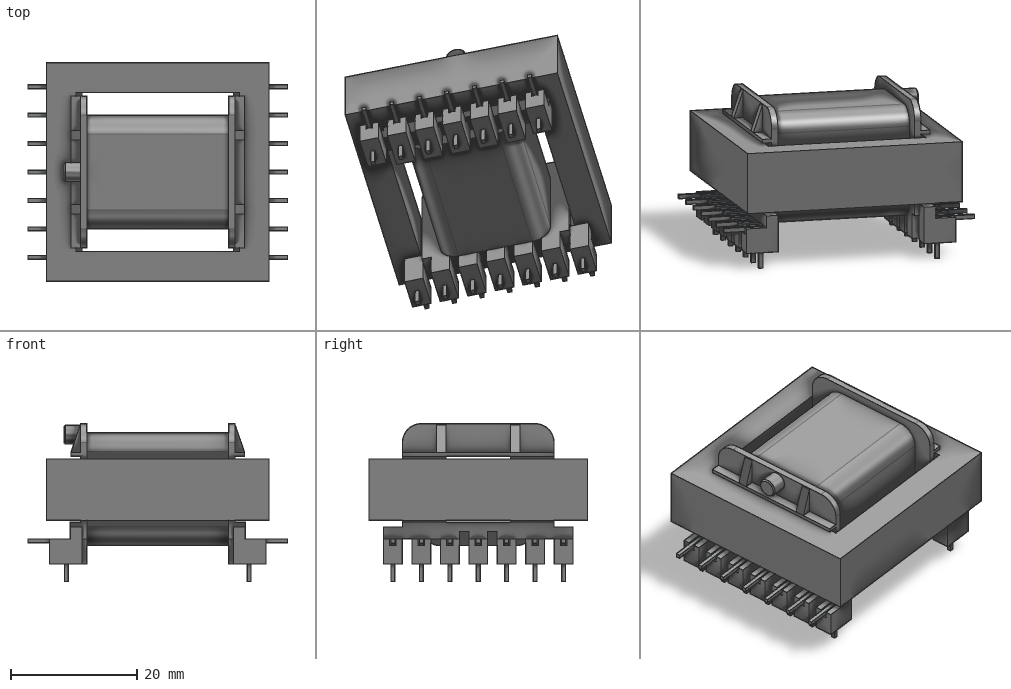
import cadquery as cq


CORE_LENGTH = 35.2
CORE_WIDTH = 34.6
CORE_HEIGHT = 9.7
WINDOW_LENGTH = 25.8
WINDOW_WIDTH = 25.1
CENTRE_LEG_WIDTH = CORE_WIDTH - WINDOW_WIDTH

BOBBIN_Z = 0.08
WINDING_LENGTH = 22.4
WINDING_WIDTH = 18.0
WINDING_HEIGHT = 17.9
CORNER_RADIUS = 3.0
TUNNEL_WIDTH = 10.2
TUNNEL_HEIGHT = 10.4
TUNNEL_TOP = BOBBIN_Z + TUNNEL_HEIGHT / 2
TUNNEL_BOTTOM = BOBBIN_Z - TUNNEL_HEIGHT / 2

FLANGE_INNER_X = WINDING_LENGTH / 2
FLANGE_THICKNESS = 1.05
FLANGE_OUTER_X = FLANGE_INNER_X + FLANGE_THICKNESS
FLANGE_WIDTH = 24.0
FLANGE_TOP = 10.45

LEDGE_OUTER_X = 13.75
LEDGE_THICKNESS = 0.6
LEDGE_TOP = TUNNEL_TOP + LEDGE_THICKNESS
RIB_TOP = FLANGE_TOP - 0.2
RIB_THICKNESS = 1.5
RIB_Y = 5.85

PEG_DIAMETER = 3.0
PEG_END_X = -14.8
PEG_Z = 8.7
PEG_CHAMFER = 0.2

PIN_COUNT = 7
PIN_PITCH = 4.5
FINGER_WIDTH = 3.0
BLOCK_WIDTH = (PIN_COUNT - 1) * PIN_PITCH + FINGER_WIDTH
WEB_OUTER_X = 13.87
BLOCK_END_INNER_X = 11.95
SHOULDER_Z = -5.88
FINGER_OUTER_X = 17.15
FINGER_TOP = -7.8
FINGER_BOTTOM = -11.8
NOTCH_TOP = -6.62
NOTCH_WIDTH = PIN_PITCH - FINGER_WIDTH
GROOVE_WIDTH = 1.05
GROOVE_DEPTH = 1.05

PIN_SIZE = 0.64
PIN_TIP_X = 41.1 / 2
PIN_BOTTOM = FLANGE_TOP - 24.99
PIN_LEG_X = 14.45
PIN_BEND_RADIUS = 0.5

PIN_POSITIONS = [(i - (PIN_COUNT - 1) / 2) * PIN_PITCH for i in range(PIN_COUNT)]


def block(x_range, y_range, z_range):
    """Box between the given limits."""
    (x0, x1), (y0, y1), (z0, z1) = x_range, y_range, z_range
    return cq.Workplane("XY").box(x1 - x0, y1 - y0, z1 - z0, centered=False).translate((x0, y0, z0))


def strip(x_range, width, z_range, y=0.0):
    """Box of the given width along Y, centred on y."""
    return block(x_range, (y - width / 2, y + width / 2), z_range)


def make_core():
    frame = cq.Workplane("XY").box(CORE_LENGTH, CORE_WIDTH, CORE_HEIGHT)
    window = cq.Workplane("XY").box(WINDOW_LENGTH, WINDOW_WIDTH, CORE_HEIGHT)
    centre_leg = cq.Workplane("XY").box(WINDOW_LENGTH, CENTRE_LEG_WIDTH, CORE_HEIGHT)
    return frame.cut(window).union(centre_leg)


def make_winding():
    winding = cq.Workplane("XY").box(WINDING_LENGTH, WINDING_WIDTH, WINDING_HEIGHT)
    return winding.edges("|X").fillet(CORNER_RADIUS).translate((0, 0, BOBBIN_Z))


def make_flange():
    flange = strip((FLANGE_INNER_X, FLANGE_OUTER_X), FLANGE_WIDTH, (FINGER_TOP, FLANGE_TOP))
    return flange.edges("|X and >Z").fillet(CORNER_RADIUS)


def make_ledge():
    ledge = strip((FLANGE_INNER_X, LEDGE_OUTER_X), FLANGE_WIDTH, (TUNNEL_TOP, LEDGE_TOP))
    for y in (-RIB_Y, RIB_Y):
        rib = (
            cq.Workplane("XZ", origin=(0, y, 0))
            .moveTo(FLANGE_OUTER_X, LEDGE_TOP)
            .lineTo(LEDGE_OUTER_X, LEDGE_TOP)
            .lineTo(FLANGE_OUTER_X, RIB_TOP)
            .close()
            .extrude(RIB_THICKNESS / 2, both=True)
        )
        ledge = ledge.union(rib)
    return ledge


def make_terminal_block():
    """Web with a row of fingers below it, one finger for each pin."""
    terminal = strip((FLANGE_INNER_X, WEB_OUTER_X), FLANGE_WIDTH, (FINGER_TOP, TUNNEL_BOTTOM))
    shoulder = strip((BLOCK_END_INNER_X, WEB_OUTER_X), BLOCK_WIDTH, (FINGER_TOP, SHOULDER_Z))
    terminal = terminal.union(shoulder)
    for y in PIN_POSITIONS:
        beyond_flange = abs(y) + FINGER_WIDTH / 2 > FLANGE_WIDTH / 2
        inner_x = BLOCK_END_INNER_X if beyond_flange else FLANGE_INNER_X
        finger = strip((inner_x, FINGER_OUTER_X), FINGER_WIDTH, (FINGER_BOTTOM, FINGER_TOP), y)
        terminal = terminal.union(finger)
    for y in PIN_POSITIONS:
        groove = strip(
            (WEB_OUTER_X, FINGER_OUTER_X), GROOVE_WIDTH, (FINGER_TOP - GROOVE_DEPTH, FINGER_TOP), y
        )
        terminal = terminal.cut(groove)
    return terminal


def cut_notches(side):
    """Cut the notches on both sides of the middle finger, up into the web and flange."""
    for y in (-PIN_PITCH / 2, PIN_PITCH / 2):
        notch = strip((FLANGE_INNER_X, WEB_OUTER_X), NOTCH_WIDTH, (FINGER_TOP, NOTCH_TOP), y)
        side = side.cut(notch)
    return side


def make_pin(y):
    """Square pin: a level arm lying in the groove, bent down through the finger."""
    arm_bottom = FINGER_TOP - PIN_SIZE
    leg_inner_x = PIN_LEG_X - PIN_SIZE / 2
    leg_outer_x = PIN_LEG_X + PIN_SIZE / 2
    outer_radius = PIN_BEND_RADIUS + PIN_SIZE
    return (
        cq.Workplane("XZ", origin=(0, y, 0))
        .moveTo(leg_inner_x, PIN_BOTTOM)
        .lineTo(leg_outer_x, PIN_BOTTOM)
        .lineTo(leg_outer_x, arm_bottom - PIN_BEND_RADIUS)
        .radiusArc((leg_outer_x + PIN_BEND_RADIUS, arm_bottom), PIN_BEND_RADIUS)
        .lineTo(PIN_TIP_X, arm_bottom)
        .lineTo(PIN_TIP_X, FINGER_TOP)
        .lineTo(leg_inner_x + outer_radius, FINGER_TOP)
        .radiusArc((leg_inner_x, FINGER_TOP - outer_radius), -outer_radius)
        .close()
        .extrude(PIN_SIZE / 2, both=True)
    )


def make_bobbin_side():
    """Everything at the +X end of the winding."""
    side = cut_notches(make_flange().union(make_ledge()).union(make_terminal_block()))
    for y in PIN_POSITIONS:
        side = side.union(make_pin(y))
    return side


def make_peg():
    peg = (
        cq.Workplane("YZ", origin=(PEG_END_X, 0, PEG_Z))
        .circle(PEG_DIAMETER / 2)
        .extrude(-FLANGE_OUTER_X - PEG_END_X)
    )
    return peg.faces("<X").chamfer(PEG_CHAMFER)


def make_bobbin():
    side = make_bobbin_side()
    bobbin = make_winding().union(side).union(side.mirror("YZ")).union(make_peg())
    tunnel = strip(
        (-FLANGE_OUTER_X, FLANGE_OUTER_X), TUNNEL_WIDTH, (TUNNEL_BOTTOM, TUNNEL_TOP)
    )
    return bobbin.cut(tunnel)


core = make_core()
bobbin = make_bobbin()

result = cq.Compound.makeCompound([core.val(), *bobbin.vals()])